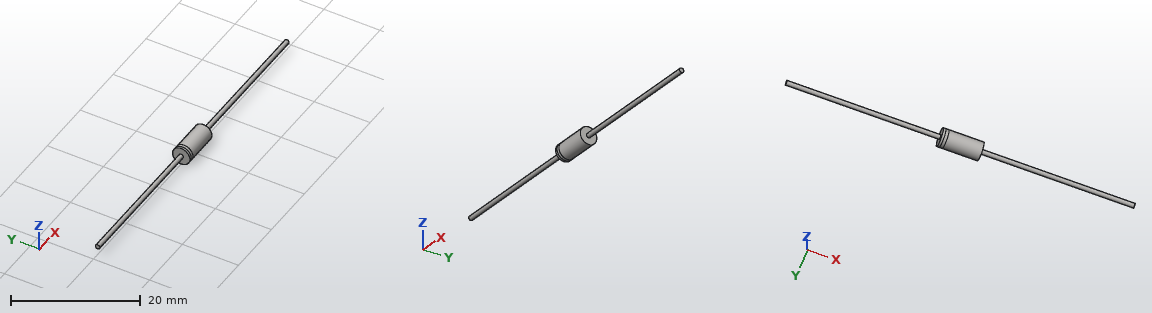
import cadquery as cq

overall_length = 57.5
body_length = 6.7
body_diameter = 3.1
lead_diameter = 0.8

end_cap_length = 0.4
band_length = 0.5
main_length = body_length - end_cap_length - band_length

lead_length = (overall_length - body_length) / 2
body_start = -body_length / 2
band_start = body_start + end_cap_length
main_start = band_start + band_length


def x_cylinder(start, length, diameter):
    """Solid cylinder on the X axis, reaching from start toward +X."""
    return cq.Workplane("YZ", origin=(start, 0, 0)).circle(diameter / 2).extrude(length)


def make_end_cap():
    return x_cylinder(body_start, end_cap_length, body_diameter)


def make_polarity_band():
    return x_cylinder(band_start, band_length, body_diameter)


def make_main_section():
    return x_cylinder(main_start, main_length, body_diameter)


def make_lead(start):
    """Straight round wire that butts against a flat end of the body."""
    return x_cylinder(start, lead_length, lead_diameter)


end_cap = make_end_cap()
polarity_band = make_polarity_band()
main_section = make_main_section()

lead_starts = [-overall_length / 2, body_length / 2]
leads = [make_lead(start).val() for start in lead_starts]

result = cq.Compound.makeCompound(
    [end_cap.val(), polarity_band.val(), main_section.val(), *leads]
)